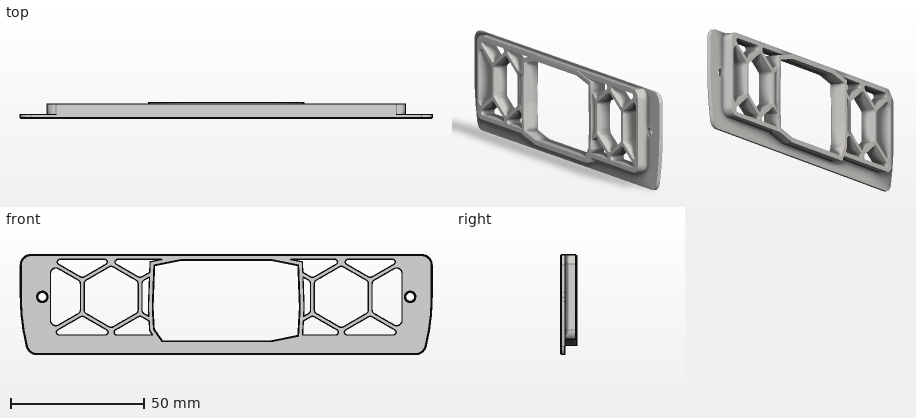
import cadquery as cq
import math

PLATE_WIDTH = 154.8
PLATE_HEIGHT = 37.6
PLATE_THICKNESS = 1.6
PLATE_CORNER_RADIUS = 4.0
PLATE_EDGE_CHAMFER = 0.4
SIDE_BOW_START_Z = 2.7
SIDE_BOW_RADIUS = 75.0

FRAME_HALF_WIDTH = 67.4
FRAME_BOTTOM_Z = -13.0
FRAME_BACK_Y = 5.6
FRAME_CORNER_RADIUS = 3.5

GRILLE_HALF_WIDTH = 66.0
GRILLE_TOP_Z = 17.0
GRILLE_BOTTOM_Z = -11.4
GRILLE_CORNER_RADIUS = 2.0
CELL_PITCH = 21.7
BAR_WIDTH = 1.5
CELL_CORNER_RADIUS = 1.5
TIP_RADIUS = 1.0
CELL_CENTER_X = 43.25
BAR_ANGLE = math.radians(30)

WINDOW_TOP_Z = 16.6
WINDOW_BOTTOM_Z = -13.6
WINDOW_BOW_Z = -1.0
WINDOW_MID_HALF_WIDTH = 27.5
WINDOW_END_HALF_WIDTH = 26.9
WINDOW_SHOULDER_X = 17.0
WINDOW_SHOULDER_DROP = 2.0
WINDOW_CUT_X = -24.0
WINDOW_CUT_Z = -9.2
WALL_THICKNESS = 1.8
WALL_BACK_Y = 6.1
WINDOW_EDGE_CHAMFER = 0.3

HOLE_DIAMETER = 3.4
HOLE_CHAMFER = 0.45
HOLE_X = 69.1

BAR_SLOPE = math.tan(BAR_ANGLE)

TOP_Z = PLATE_HEIGHT / 2
BOTTOM_Z = -PLATE_HEIGHT / 2
AXIS_Z = (TOP_Z + FRAME_BOTTOM_Z) / 2
CUT_DEPTH = WALL_BACK_Y


def front_plane():
    """X-Z workplane on the front face; a negative extrusion goes toward +Y."""
    return cq.Workplane("XZ")


def prism(points, depth):
    """Straight prism from the front face back to Y = depth."""
    return front_plane().polyline(points).close().extrude(-depth)


def mirrored_pair(body):
    return body.union(body.mirror("YZ"))


def make_plate():
    """Plate with bowed lower sides, rounded corners and a chamfered front edge."""
    half_width = PLATE_WIDTH / 2

    def bow_x(z):
        drop = SIDE_BOW_START_Z - z
        return half_width - SIDE_BOW_RADIUS + math.sqrt(SIDE_BOW_RADIUS ** 2 - drop ** 2)

    middle_z = (SIDE_BOW_START_Z + BOTTOM_Z) / 2
    plate = (
        front_plane()
        .moveTo(-half_width, TOP_Z)
        .lineTo(half_width, TOP_Z)
        .lineTo(half_width, SIDE_BOW_START_Z)
        .threePointArc((bow_x(middle_z), middle_z), (bow_x(BOTTOM_Z), BOTTOM_Z))
        .lineTo(-bow_x(BOTTOM_Z), BOTTOM_Z)
        .threePointArc((-bow_x(middle_z), middle_z), (-half_width, SIDE_BOW_START_Z))
        .close()
        .extrude(-PLATE_THICKNESS)
    )
    corners = plate.edges("|Y").edges(">Z or <Z")
    plate = corners.fillet(PLATE_CORNER_RADIUS)
    return plate.faces("<Y").edges().chamfer(PLATE_EDGE_CHAMFER)


def make_frame():
    """Solid rounded block behind the plate, flush with its top edge."""
    points = [
        (-FRAME_HALF_WIDTH, FRAME_BOTTOM_Z),
        (FRAME_HALF_WIDTH, FRAME_BOTTOM_Z),
        (FRAME_HALF_WIDTH, TOP_Z),
        (-FRAME_HALF_WIDTH, TOP_Z),
    ]
    frame = prism(points, FRAME_BACK_Y - PLATE_THICKNESS)
    frame = frame.edges("|Y").fillet(FRAME_CORNER_RADIUS)
    return frame.translate((0, PLATE_THICKNESS, 0))


def hexagon_cell(x):
    """Pointed-top hexagonal prism with the bar width taken off the cell pitch."""
    radius = (CELL_PITCH - BAR_WIDTH) / math.sqrt(3)
    angles = [math.pi / 6 + i * math.pi / 3 for i in range(6)]
    corners = [(x + radius * math.cos(a), AXIS_Z + radius * math.sin(a)) for a in angles]
    return prism(corners, CUT_DEPTH).edges("|Y").fillet(CELL_CORNER_RADIUS)


def end_cell():
    """Cell at the -X end: a straight outer side and a pointed inner side."""
    inner_x = -CELL_CENTER_X - (CELL_PITCH + BAR_WIDTH) / 2
    inner_half_height = (CELL_PITCH - BAR_WIDTH) / 2 * BAR_SLOPE
    outer_half_height = inner_half_height + (inner_x + GRILLE_HALF_WIDTH) * BAR_SLOPE
    points = [
        (-GRILLE_HALF_WIDTH, AXIS_Z - outer_half_height),
        (inner_x, AXIS_Z - inner_half_height),
        (inner_x, AXIS_Z + inner_half_height),
        (-GRILLE_HALF_WIDTH, AXIS_Z + outer_half_height),
    ]
    cell = prism(points, CUT_DEPTH)
    cell = cell.edges("|Y and <X").fillet(GRILLE_CORNER_RADIUS)
    return cell.edges("|Y and >X").fillet(CELL_CORNER_RADIUS)


def edge_cell(x, side):
    """Triangular cell along the top (side = 1) or bottom (side = -1) edge of the grille."""
    base_z = GRILLE_TOP_Z if side > 0 else GRILLE_BOTTOM_Z
    center_to_apex = (CELL_PITCH / 2 + BAR_WIDTH) / math.sqrt(3)
    apex_z = AXIS_Z + side * center_to_apex
    half_base = abs(base_z - apex_z) / BAR_SLOPE
    cell = prism([(x - half_base, base_z), (x, apex_z), (x + half_base, base_z)], CUT_DEPTH)
    apex_direction = "<Z" if side > 0 else ">Z"
    base_direction = ">Z" if side > 0 else "<Z"
    cell = cell.edges(f"|Y and {apex_direction}").fillet(CELL_CORNER_RADIUS)
    return cell.edges("|Y").edges(base_direction).fillet(TIP_RADIUS)


def make_grille_cells():
    """Openings of the -X grille and their mirror images."""
    cells = end_cell()
    for column in range(2):
        x = -CELL_CENTER_X + column * CELL_PITCH
        cells = cells.union(hexagon_cell(x))
        for side in (-1, 1):
            cells = cells.union(edge_cell(x - CELL_PITCH / 2, side))
    return mirrored_pair(cells)


def window_outline():
    """Corner points of the window, clockwise from the top left."""
    shoulder_top_z = WINDOW_TOP_Z - WINDOW_SHOULDER_DROP
    shoulder_bottom_z = WINDOW_BOTTOM_Z + WINDOW_SHOULDER_DROP
    slope = (WINDOW_MID_HALF_WIDTH - WINDOW_END_HALF_WIDTH) / (WINDOW_BOW_Z - shoulder_bottom_z)
    cut_half_width = WINDOW_END_HALF_WIDTH + slope * (WINDOW_CUT_Z - shoulder_bottom_z)
    return [
        (-WINDOW_SHOULDER_X, WINDOW_TOP_Z),
        (WINDOW_SHOULDER_X, WINDOW_TOP_Z),
        (WINDOW_END_HALF_WIDTH, shoulder_top_z),
        (WINDOW_MID_HALF_WIDTH, WINDOW_BOW_Z),
        (WINDOW_END_HALF_WIDTH, shoulder_bottom_z),
        (WINDOW_SHOULDER_X, WINDOW_BOTTOM_Z),
        (WINDOW_CUT_X, WINDOW_BOTTOM_Z),
        (-cut_half_width, WINDOW_CUT_Z),
        (-WINDOW_MID_HALF_WIDTH, WINDOW_BOW_Z),
        (-WINDOW_END_HALF_WIDTH, shoulder_top_z),
    ]


def make_window_block():
    """Solid block filling the window and its wall."""
    outline = front_plane().polyline(window_outline()).close()
    return outline.offset2D(WALL_THICKNESS, "intersection").extrude(-WALL_BACK_Y)


def make_window_opening():
    """Window opening with a 45 degree chamfer around its front edge."""
    opening = prism(window_outline(), CUT_DEPTH)
    flare = (
        front_plane().polyline(window_outline()).close()
        .offset2D(WINDOW_EDGE_CHAMFER, "intersection")
        .extrude(-WINDOW_EDGE_CHAMFER, taper=45)
    )
    return opening.union(flare)


def make_screw_holes():
    """Countersunk through holes, one at each end."""
    front_center = cq.Vector(HOLE_X, 0, AXIS_Z)
    backward = cq.Vector(0, 1, 0)
    radius = HOLE_DIAMETER / 2
    shank = cq.Solid.makeCylinder(radius, PLATE_THICKNESS, front_center, backward)
    mouth = cq.Solid.makeCone(radius + HOLE_CHAMFER, radius, HOLE_CHAMFER, front_center, backward)
    return mirrored_pair(cq.Workplane(shank).union(cq.Workplane(mouth)))


body = make_plate().union(make_frame())
body = body.cut(make_grille_cells())
body = body.union(make_window_block())
body = body.cut(make_window_opening())
result = body.cut(make_screw_holes())